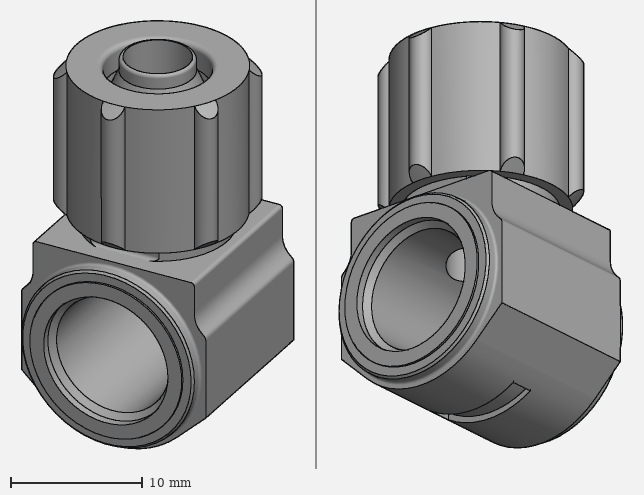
import cadquery as cq
import math


overall_height = 30.47
block_width = 16.0
block_radius = block_width / 2
shoulder_half_width = 7.0
block_half_length = 7.0
top_edge_fillet = 0.3
scoop_radius = 2.0
scoop_top = 5.3
corner_radius = 0.5
scoop_angle = math.radians(45)
side_bottom = -3.47

collar_radius = 7.5
collar_end = 8.07
collar_root_fillet = 0.2
collar_rim_chamfer = 0.18
boss_diameter = 13.2
boss_radius = boss_diameter / 2
boss_end = 8.25

bore_radius = 4.9
counterbore_radius = 5.4
counterbore_depth = 0.67

groove_width = 2.0
groove_half_span = 4.08

neck_radius = 6.03
neck_top = 16.45
neck_flat_offset = 5.25
neck_flat_fillet = 0.3
nozzle_top = overall_height - block_radius
nozzle_radius = 2.95
nozzle_bore_radius = 2.65
nozzle_rim_fillet = 0.27
stem_radius = 3.65
cone_bottom = 19.75
cone_top = 21.3

neck_gap = 1.25
nut_bottom = block_radius + neck_gap
nut_height = 12.5
nut_top = nut_bottom + nut_height
nut_radius = 7.0
lip_radius = 4.17
lip_thickness = 2.0
lip_rim_fillet = 0.43
rib_count = 6
rib_radius = 0.95
rib_tip_radius = nut_radius + rib_radius
rib_end_height = 0.88

lip_underside = nut_top - lip_thickness


def mirrored_outline(right_points):
    """Append the X-mirrored copy of a list of points in reverse order."""
    return right_points + [(-x, z) for x, z in reversed(right_points)]


def make_block():
    sin_a = math.sin(scoop_angle)
    cos_a = math.cos(scoop_angle)
    half_sin = math.sin(scoop_angle / 2)
    half_cos = math.cos(scoop_angle / 2)
    scoop_centre_x = shoulder_half_width + scoop_radius
    scoop_mid = (scoop_centre_x - scoop_radius * half_cos, scoop_top - scoop_radius * half_sin)
    scoop_end = (scoop_centre_x - scoop_radius * cos_a, scoop_top - scoop_radius * sin_a)
    corner_centre_x = block_radius - corner_radius
    corner_start_x = corner_centre_x + corner_radius * cos_a
    corner_start_z = scoop_end[1] - (corner_start_x - scoop_end[0]) * math.tan(scoop_angle)
    corner_centre_z = corner_start_z - corner_radius * sin_a
    corner_start = (corner_start_x, corner_start_z)
    corner_mid = (corner_centre_x + corner_radius * half_cos, corner_centre_z + corner_radius * half_sin)
    corner_end = (block_radius, corner_centre_z)

    tangent_angle = 2 * math.atan2(side_bottom, block_radius)
    tangent_point = (block_radius * math.cos(tangent_angle), block_radius * math.sin(tangent_angle))

    right = [
        (shoulder_half_width, block_radius), (shoulder_half_width, scoop_top), scoop_mid, scoop_end,
        corner_start, corner_mid, corner_end, (block_radius, side_bottom), tangent_point,
    ]
    p = mirrored_outline(right)
    block = (
        cq.Workplane("XZ")
        .moveTo(*p[0]).lineTo(*p[1])
        .threePointArc(p[2], p[3]).lineTo(*p[4])
        .threePointArc(p[5], p[6]).lineTo(*p[7]).lineTo(*p[8])
        .threePointArc((0, -block_radius), p[9])
        .lineTo(*p[10]).lineTo(*p[11])
        .threePointArc(p[12], p[13]).lineTo(*p[14])
        .threePointArc(p[15], p[16]).lineTo(*p[17])
        .close()
        .extrude(block_half_length, both=True)
    )
    return block.faces(">Z").edges("|Y").fillet(top_edge_fillet)


def make_collar():
    """Collar and flat boss on the -Y end, with a concave fillet at the root."""
    f = collar_root_fillet
    root_end = block_half_length + f
    bend = f * (1 - math.sin(math.pi / 4))
    return (
        cq.Workplane("XY")
        .moveTo(0, -block_half_length)
        .lineTo(collar_radius + f, -block_half_length)
        .threePointArc((collar_radius + bend, -block_half_length - bend), (collar_radius, -root_end))
        .lineTo(collar_radius, -collar_end + collar_rim_chamfer)
        .lineTo(collar_radius - collar_rim_chamfer, -collar_end)
        .lineTo(boss_radius, -collar_end)
        .lineTo(boss_radius, -boss_end)
        .lineTo(0, -boss_end)
        .close()
        .revolve(360, (0, 0, 0), (0, 1, 0))
    )


def make_cross_bore():
    """Cutter: through bore with a counterbore and 45 degree transition at each end."""
    counterbore_end = boss_end - counterbore_depth
    bore_end = counterbore_end - (counterbore_radius - bore_radius)
    return (
        cq.Workplane("XY")
        .polyline([
            (0, -boss_end), (counterbore_radius, -boss_end), (counterbore_radius, -counterbore_end),
            (bore_radius, -bore_end), (bore_radius, bore_end),
            (counterbore_radius, counterbore_end), (counterbore_radius, boss_end), (0, boss_end),
        ])
        .close()
        .revolve(360, (0, 0, 0), (0, 1, 0))
    )


def make_groove():
    """Cutter: short groove under the block, its floor flush with the collars."""
    floor = cq.Workplane("XZ").circle(collar_radius).extrude(groove_width / 2, both=True)
    return (
        cq.Workplane("XY")
        .rect(2 * groove_half_span, groove_width)
        .extrude(-block_radius)
        .cut(floor)
    )


def make_neck():
    """Round neck with two flats on its Y sides, filleted into the block's top face."""
    z0 = block_radius
    f = neck_flat_fillet
    bend = f * (1 - math.sin(math.pi / 4))
    y = neck_flat_offset
    between_flats = (
        cq.Workplane("YZ")
        .moveTo(y + f, z0)
        .threePointArc((y + bend, z0 + bend), (y, z0 + f))
        .lineTo(y, neck_top)
        .lineTo(-y, neck_top)
        .lineTo(-y, z0 + f)
        .threePointArc((-y - bend, z0 + bend), (-y - f, z0))
        .close()
        .extrude(neck_radius, both=True)
    )
    cylinder = cq.Workplane("XY").workplane(offset=z0).circle(neck_radius).extrude(neck_top - z0)
    return cylinder.intersect(between_flats)


def make_nozzle():
    """Stem, cone and round-edged tip above the neck."""
    return (
        cq.Workplane("XZ")
        .polyline([
            (0, block_radius), (stem_radius, block_radius), (stem_radius, cone_bottom),
            (nozzle_radius, cone_top), (nozzle_radius, nozzle_top), (0, nozzle_top),
        ])
        .close()
        .revolve(360, (0, 0, 0), (0, 1, 0))
        .faces(">Z").edges().fillet(nozzle_rim_fillet)
    )


def make_fitting():
    fitting = make_block().cut(make_groove())
    collar = make_collar()
    fitting = fitting.union(collar).union(collar.mirror("XZ"))
    fitting = fitting.union(make_neck()).union(make_nozzle())
    nozzle_bore = cq.Workplane("XY").circle(nozzle_bore_radius).extrude(nozzle_top)
    return fitting.cut(make_cross_bore()).cut(nozzle_bore)


def make_nut():
    nut = cq.Workplane("XY").workplane(offset=nut_bottom).circle(nut_radius).extrude(nut_height)

    rib_step = 360 / rib_count
    ribs = (
        cq.Workplane("XY").workplane(offset=nut_bottom)
        .polarArray(nut_radius, rib_step / 2, 360, rib_count)
        .circle(rib_radius)
        .extrude(nut_height)
    )
    envelope = (
        cq.Workplane("XZ")
        .polyline([
            (0, nut_bottom), (nut_radius, nut_bottom), (rib_tip_radius, nut_bottom + rib_end_height),
            (rib_tip_radius, nut_top - rib_end_height), (nut_radius, nut_top), (0, nut_top),
        ])
        .close()
        .revolve(360, (0, 0, 0), (0, 1, 0))
    )
    nut = nut.union(ribs.intersect(envelope))

    base = cq.Workplane("XY").workplane(offset=nut_bottom)
    socket = base.circle(neck_radius).extrude(lip_underside - nut_bottom)
    opening = base.circle(lip_radius).extrude(nut_height)
    nut = nut.cut(socket).cut(opening)
    lip_rim = cq.selectors.RadiusNthSelector(0)
    return nut.faces(">Z").edges("%CIRCLE").edges(lip_rim).fillet(lip_rim_fillet)


fitting = make_fitting()
nut = make_nut()
result = cq.Compound.makeCompound([fitting.solids().val(), nut.solids().val()])